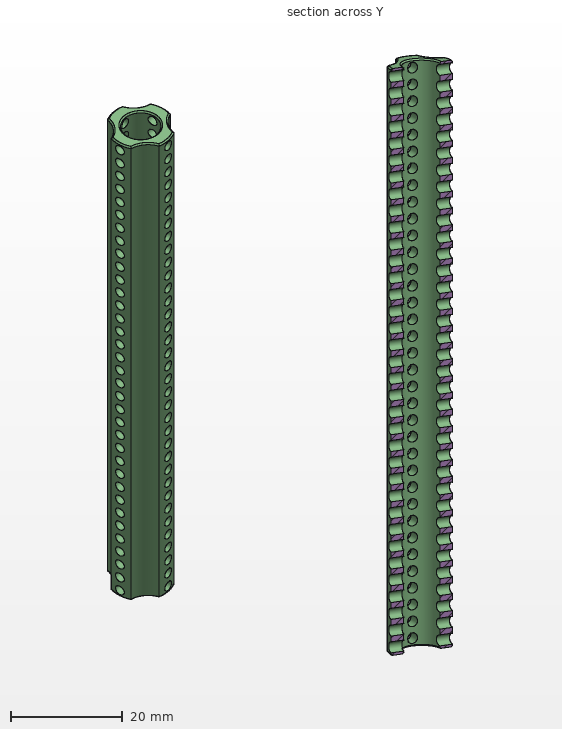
import cadquery as cq
import math

length = 109.4
outer_diameter = 12.5
bore_diameter = 7.2
hole_diameter = 2.0
hole_count = 35
end_chamfer = 0.3
lobe_width = 4.5
valley_diameter = 10.0

hole_pitch = length / hole_count

outer_radius = outer_diameter / 2
valley_radius = valley_diameter / 2
half_width = lobe_width / 2

lobe_half_angle = math.degrees(math.asin(half_width / outer_radius))


def polar(radius, angle):
    """Point at the given radius and angle in degrees."""
    turn = math.radians(angle)
    return radius * math.cos(turn), radius * math.sin(turn)


def make_tube():
    """Four-lobed tube with round lobe tips, concave valleys and a round bore."""
    outline = cq.Workplane("XY").moveTo(*polar(outer_radius, -lobe_half_angle))
    for lobe_angle in (0, 90, 180, 270):
        tip_end = polar(outer_radius, lobe_angle + lobe_half_angle)
        next_tip_start = polar(outer_radius, lobe_angle + 90 - lobe_half_angle)
        outline = outline.threePointArc(polar(outer_radius, lobe_angle), tip_end)
        outline = outline.threePointArc(polar(valley_radius, lobe_angle + 45), next_tip_start)
    bore = cq.Workplane("XY").circle(bore_diameter / 2).extrude(length)
    tube = outline.close().extrude(length).cut(bore)
    return tube.faces("<Z or >Z").chamfer(end_chamfer)


def cross_holes(plane):
    """Row of holes that pass right through two opposite lobes."""
    centers = [(0, (row + 0.5) * hole_pitch) for row in range(hole_count)]
    return cq.Workplane(plane).pushPoints(centers).circle(hole_diameter / 2).extrude(outer_radius, both=True)


result = make_tube()
for hole_plane in ("XZ", "YZ"):
    result = result.cut(cross_holes(hole_plane))